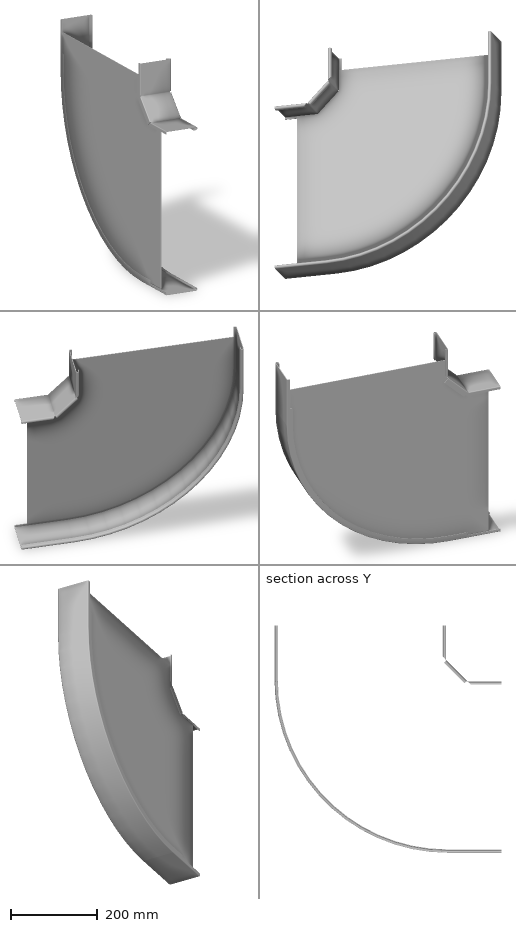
import cadquery as cq
import math


size = 525.0
depth = 82.0
sheet = 1.5

front_bend = 2.0
hem_radius = 3.95
lip_length = 10.0
narrow_flange = 7.5
wide_flange = 14.5

outer_radius = 400.0
end_notch = 81.0

inner_face = 396.5
inner_corner = 446.0
corner_bend = 2.5
tab_length = 67.0

floor_setback = 29.5
floor_gap = 8.5

diagonal_normal = (1, 0, -1)
mid_diagonal = (inner_face + inner_corner) / 2


def wall_section(plane, flange):
    """Profile of a wall: front flange at y = 0, wall at x = 0, rolled hem with a lip at the back."""
    roll_y = depth - hem_radius
    tip_y = depth - lip_length
    hem_width = 2 * hem_radius
    inner_bend = front_bend - sheet
    corner = front_bend * (1 - math.sqrt(0.5))
    inner_bend_mid = front_bend - inner_bend * math.sqrt(0.5)
    return (
        cq.Workplane(plane)
        .moveTo(flange, 0)
        .lineTo(front_bend, 0)
        .threePointArc((corner, corner), (0, front_bend))
        .lineTo(0, roll_y)
        .threePointArc((hem_radius, depth), (hem_width, roll_y))
        .lineTo(hem_width, tip_y)
        .lineTo(hem_width - sheet, tip_y)
        .lineTo(hem_width - sheet, roll_y)
        .threePointArc((hem_radius, depth - sheet), (sheet, roll_y))
        .lineTo(sheet, front_bend)
        .threePointArc((inner_bend_mid, inner_bend_mid), (front_bend, sheet))
        .lineTo(flange, sheet)
        .close()
    )


def section_plane(origin, inward):
    """Plane whose local x points inward from the wall and whose local y is the part's Y."""
    normal = cq.Vector(*inward).cross(cq.Vector(0, 1, 0))
    return cq.Plane(origin=origin, xDir=inward, normal=normal.toTuple())


def xz_prism(sketch, y_start, y_end):
    """Extrude an outline drawn on the XZ workplane between two Y positions."""
    return sketch.extrude(-(y_end - y_start)).translate((0, y_start, 0))


def with_mirror_image(half):
    return half.union(half.mirror(diagonal_normal))


def make_outer_wall():
    notch_z = size - end_notch
    narrow_end = wall_section(section_plane((0, 0, notch_z), (1, 0, 0)), narrow_flange).extrude(end_notch)
    start_plane = section_plane((0, 0, outer_radius), (1, 0, 0))
    wide_straight = wall_section(start_plane, wide_flange).extrude(notch_z - outer_radius)
    curve = wall_section(start_plane, wide_flange).revolve(90, (outer_radius, 0), (outer_radius, -1))
    leg = narrow_end.union(wide_straight)
    return curve.union(leg).union(leg.mirror(diagonal_normal))


def make_inner_leg():
    """Upright leg, with its flange and hem cut off along the diagonal."""
    setback = (corner_bend + sheet) * math.tan(math.pi / 8)
    start = inner_corner + setback
    leg = wall_section(section_plane((inner_face, 0, size), (-1, 0, 0)), narrow_flange).extrude(size - start)
    reach = 2 * wide_flange
    beyond_diagonal = xz_prism(
        cq.Workplane("XZ").polyline([
            (inner_face, inner_corner),
            (inner_face - reach, inner_corner + reach),
            (inner_face - reach, inner_corner),
        ]).close(), 0, depth)
    return leg.cut(beyond_diagonal)


def make_inner_web():
    """Bent strip forming both legs and the diagonal between the flange bend and the hem."""
    corner_shift = sheet * math.tan(math.pi / 8)
    back_face = inner_face - sheet
    back_corner = inner_corner - corner_shift
    strip = xz_prism(
        cq.Workplane("XZ").polyline([
            (inner_face, size), (inner_face, inner_corner), (inner_corner, inner_face), (size, inner_face),
            (size, back_face), (back_corner, back_face), (back_face, back_corner), (back_face, size),
        ]).close(), front_bend, depth - hem_radius)

    def edge_at(x, z):
        return cq.selectors.NearestToPointSelector((x, depth / 2, z))

    for x, z in [(inner_face, inner_corner), (inner_corner, inner_face)]:
        strip = strip.edges("|Y").edges(edge_at(x, z)).fillet(corner_bend)
    for x, z in [(back_face, back_corner), (back_corner, back_face)]:
        strip = strip.edges("|Y").edges(edge_at(x, z)).fillet(corner_bend + sheet)
    return strip


def make_inner_wall():
    diagonal_plane = section_plane((mid_diagonal, 0, mid_diagonal), (-1, 0, -1))
    diagonal = wall_section(diagonal_plane, wide_flange).extrude(tab_length / 2, both=True)
    return make_inner_web().union(diagonal).union(with_mirror_image(make_inner_leg()))


def make_floor():
    """Flat plate lying against the rear of the front flanges."""
    end = size - floor_setback
    inner_edge = inner_face - front_bend
    inner_start = inner_corner - front_bend * math.tan(math.pi / 8)
    arc_mid = outer_radius - (outer_radius - floor_gap) * math.sqrt(0.5)
    outline = (
        cq.Workplane("XZ")
        .moveTo(floor_gap, end)
        .lineTo(floor_gap, outer_radius)
        .threePointArc((arc_mid, arc_mid), (outer_radius, floor_gap))
        .lineTo(end, floor_gap)
        .lineTo(end, inner_edge)
        .lineTo(inner_start, inner_edge)
        .lineTo(inner_edge, inner_start)
        .lineTo(inner_edge, end)
        .close()
    )
    return xz_prism(outline, sheet, 2 * sheet)


outer_wall = make_outer_wall()
inner_wall = make_inner_wall()
floor = make_floor()

result = cq.Compound.makeCompound([outer_wall.solids().val(), inner_wall.solids().val(), floor.val()])